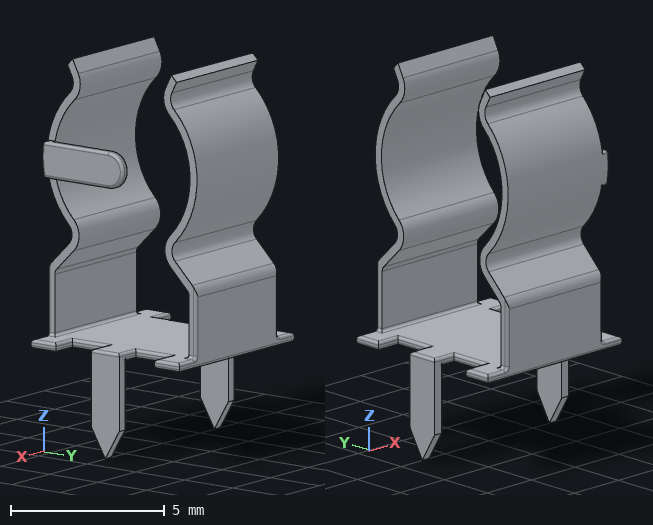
import cadquery as cq
import math


sheet = 0.3
edge_radius = 0.1
total_height = 12.9

plate_length = 6.1
plate_width = 6.11
plate_bottom = 3.28
plate_top = plate_bottom + sheet
middle_tab_width = 1.16
corner_tab_width = 1.03

pin_thickness = 0.32
pin_shoulder = 0.99

arm_length = 4.33
barrel_center = 9.53
barrel_radius = 3.1
barrel_inner_radius = barrel_radius - sheet
wall_outside = plate_width / 2
wall_inside = wall_outside - sheet
bend_radius = 0.54
waist_radius = 0.44
lip_radius = 0.46
lip_lean = 27.0
lip_joint_angle = 46.0
lip_cut_angle = 45.0

stop_thickness = 0.3
stop_height = 1.21
stop_center = 9.45
stop_reach = 0.27

SLOPE = 45
DIAGONAL = math.sin(math.radians(SLOPE))
TOLERANCE = 0.001


def polar(center, radius, degrees):
    angle = math.radians(degrees)
    return (center[0] + radius * math.cos(angle), center[1] + radius * math.sin(angle))


def box(x_range, y_range, z_range):
    sizes = [high - low for low, high in (x_range, y_range, z_range)]
    corner = (x_range[0], y_range[0], z_range[0])
    return cq.Workplane("XY").box(*sizes, centered=False).translate(corner)


barrel = (0, barrel_center)
waist = polar(barrel, barrel_radius + waist_radius, -SLOPE)
lip = polar(barrel, barrel_radius + lip_radius, lip_joint_angle)
waist_exit = polar(waist, waist_radius, 180 + SLOPE)
bend_y = wall_outside - bend_radius
bend_exit_y = bend_y + bend_radius * DIAGONAL
bend_exit_z = waist_exit[1] - (bend_exit_y - waist_exit[0])
bend = (bend_y, bend_exit_z - bend_radius * DIAGONAL)

lip_direction = (math.sin(math.radians(lip_lean)), math.cos(math.radians(lip_lean)))
lip_start_angle = 180 - lip_lean
lip_inner_start = polar(lip, lip_radius + sheet, lip_start_angle)
lip_outer_start = polar(lip, lip_radius, lip_start_angle)
lip_inner_run = (total_height - lip_inner_start[1]) / lip_direction[1]
lip_outer_run = lip_inner_run - sheet * math.tan(math.radians(lip_cut_angle - lip_lean))


def along_lip(start, run):
    return (start[0] + run * lip_direction[0], start[1] + run * lip_direction[1])


def make_arm():
    """Constant-thickness spring strip at +Y, standing in the base plate."""
    foot = plate_bottom + edge_radius
    bend_inner = bend_radius - sheet
    waist_outer = waist_radius + sheet
    lip_outer = lip_radius + sheet
    outline = (
        cq.Workplane("YZ")
        .moveTo(wall_outside, foot)
        .lineTo(wall_outside, bend[1])
        .threePointArc(polar(bend, bend_radius, SLOPE / 2), polar(bend, bend_radius, SLOPE))
        .lineTo(*waist_exit)
        .threePointArc(polar(waist, waist_radius, 180), polar(waist, waist_radius, 180 - SLOPE))
        .threePointArc(polar(barrel, barrel_radius, 0), polar(barrel, barrel_radius, lip_joint_angle))
        .threePointArc(polar(lip, lip_radius, 180), lip_outer_start)
        .lineTo(*along_lip(lip_outer_start, lip_outer_run))
        .lineTo(*along_lip(lip_inner_start, lip_inner_run))
        .lineTo(*lip_inner_start)
        .threePointArc(polar(lip, lip_outer, 180), polar(lip, lip_outer, 180 + lip_joint_angle))
        .threePointArc(polar(barrel, barrel_inner_radius, 0), polar(barrel, barrel_inner_radius, -SLOPE))
        .threePointArc(polar(waist, waist_outer, 180), polar(waist, waist_outer, 180 + SLOPE))
        .lineTo(*polar(bend, bend_inner, SLOPE))
        .threePointArc(polar(bend, bend_inner, SLOPE / 2), polar(bend, bend_inner, 0))
        .lineTo(wall_inside, foot)
        .close()
    )
    return outline.extrude(arm_length / 2, both=True)


def make_base():
    """Base plate and the two upright walls, with all their rounded edges."""
    half_arm = arm_length / 2
    half_plate = plate_length / 2
    plate_z = (plate_bottom, plate_top)
    base = box((-half_arm, half_arm), (-wall_outside, wall_outside), plate_z)
    tabs = (
        (-wall_outside, corner_tab_width - wall_outside),
        (-middle_tab_width / 2, middle_tab_width / 2),
        (wall_outside - corner_tab_width, wall_outside),
    )
    for tab in tabs:
        base = base.union(box((-half_plate, half_plate), tab, plate_z))
    wall_z = (plate_bottom, bend_exit_z)
    for wall in ((wall_inside, wall_outside), (-wall_outside, -wall_inside)):
        base = base.union(box((-half_arm, half_arm), wall, wall_z))

    def is_wall_root(edge):
        middle = edge.Center()
        beside = abs(abs(middle.x) - half_arm) < TOLERANCE and abs(middle.y) > wall_inside
        inside = abs(abs(middle.y) - wall_inside) < TOLERANCE and abs(middle.x) < TOLERANCE
        return abs(middle.z - plate_top) < TOLERANCE and (beside or inside)

    def is_outer_wall_edge(edge):
        middle = edge.Center()
        on_side = abs(abs(middle.x) - half_arm) < TOLERANCE
        on_end = abs(abs(middle.y) - wall_outside) < TOLERANCE
        return on_side and on_end and middle.z > plate_top

    def is_rim(edge):
        middle = edge.Center()
        level = edge.geomType() == "LINE" and abs(edge.tangentAt(0).z) < TOLERANCE
        at_bottom = abs(middle.z - plate_bottom) < TOLERANCE
        at_top = abs(middle.z - plate_top) < TOLERANCE
        on_end = abs(abs(middle.y) - wall_outside) < TOLERANCE
        tab_side = abs(middle.y) < wall_inside - edge_radius - TOLERANCE
        tab_tip = abs(abs(middle.x) - half_plate) < TOLERANCE
        return level and (at_bottom or (at_top and (on_end or tab_side or tab_tip)))

    body = base.val()
    body = body.fillet(edge_radius, [e for e in body.Edges() if is_wall_root(e)])
    rounded = [e for e in body.Edges() if is_outer_wall_edge(e) or is_rim(e)]
    return cq.Workplane(body.fillet(edge_radius, rounded))


def make_pins():
    """Two pointed solder pins under the middle tabs, flush with the tab tips."""
    half_width = middle_tab_width / 2
    root = plate_top - edge_radius
    pin = (
        cq.Workplane("YZ")
        .polyline([
            (0, 0),
            (half_width, pin_shoulder),
            (half_width, root),
            (-half_width, root),
            (-half_width, pin_shoulder),
        ])
        .close()
        .extrude(pin_thickness)
        .translate((plate_length / 2 - pin_thickness, 0, 0))
    )
    return pin.union(pin.mirror("YZ"))


def make_stop():
    """Round-nosed finger that reaches across the barrel from the arm at -Y."""
    nose_radius = stop_height / 2
    nose_y = stop_reach - nose_radius
    low = stop_center - nose_radius
    high = stop_center + nose_radius
    low_root = (-math.sqrt(barrel_radius**2 - (low - barrel_center) ** 2), low)
    high_root = (-math.sqrt(barrel_radius**2 - (high - barrel_center) ** 2), high)
    return (
        cq.Workplane("YZ", origin=(arm_length / 2, 0, 0))
        .moveTo(nose_y, low)
        .threePointArc((stop_reach, stop_center), (nose_y, high))
        .lineTo(*high_root)
        .threePointArc((-barrel_radius, barrel_center), low_root)
        .close()
        .extrude(stop_thickness)
    )


def round_stop(body):
    """Round every free edge of the stop; the edges on the arm itself stay sharp."""
    base_x = arm_length / 2
    low_limit = stop_center - stop_height
    high_limit = stop_center + stop_height

    def is_free(edge):
        bounds = edge.BoundingBox()
        low, high = bounds.zmin, bounds.zmax
        at_stop = bounds.xmin > base_x - TOLERANCE and low > low_limit and high < high_limit
        across = bounds.xmax - bounds.xmin > TOLERANCE
        on_arm = edge.Center().y < -wall_inside
        on_outer_face = bounds.xmin > base_x + TOLERANCE
        if on_arm:
            return at_stop and (across or on_outer_face)
        return at_stop and not across

    solid = body.val()
    return cq.Workplane(solid.fillet(edge_radius, [e for e in solid.Edges() if is_free(e)]))


arm = make_arm()
arms = arm.union(arm.mirror("XZ"))

whole_length = (-plate_length / 2, plate_length / 2)
whole_width = (-wall_outside, wall_outside)
plate_block = box(whole_length, whole_width, (plate_bottom, plate_top + edge_radius))
base = make_base().intersect(arms.union(plate_block))
wall = box(whole_length, (wall_inside, wall_outside), (plate_bottom, bend_exit_z))
upper_arms = arms.cut(wall).cut(wall.mirror("XZ"))
clip = base.union(upper_arms).union(make_stop())
result = round_stop(clip).union(make_pins())